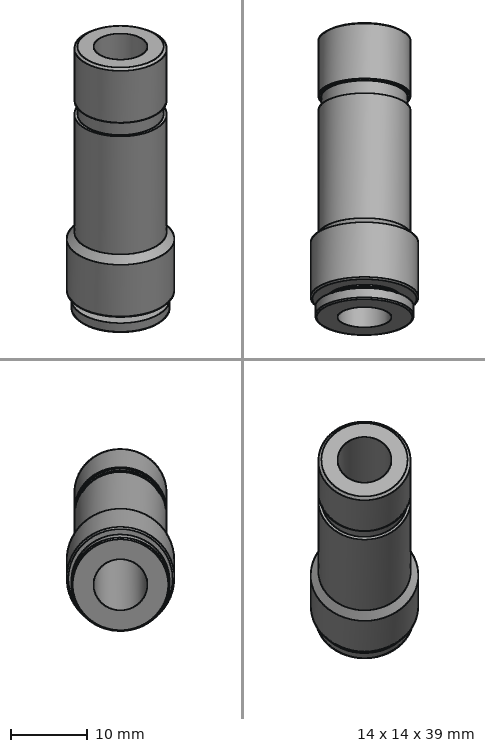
import cadquery as cq

total_height = 39.0
bore_diameter = 7.0

collar_diameter = 12.8
collar_top = 1.5
collar_chamfer = 0.2
neck_diameter = 9.0
neck_flare = 0.2

lip_diameter = 9.8
lip_height = 0.25

socket_diameter = 14.0
socket_bottom = 2.57
socket_chamfer = 0.25
shoulder_top = 11.45

stem_diameter = 12.0
groove_diameter = 11.2
groove_bottom = 28.98
groove_top = 30.9
groove_edge_chamfer = 0.15
tip_diameter = 11.2
tip_chamfer_height = 0.27


def cylinder(diameter, bottom, top):
    """Solid round section about Z between two heights."""
    return cq.Workplane("XY").workplane(offset=bottom).circle(diameter / 2).extrude(top - bottom)


def make_collar():
    collar = cylinder(collar_diameter, 0, collar_top)
    return collar.faces("<Z").chamfer(collar_chamfer)


def make_neck():
    radius = neck_diameter / 2
    profile = (
        cq.Workplane("XZ")
        .moveTo(0, collar_top)
        .lineTo(radius + neck_flare, collar_top)
        .lineTo(radius, collar_top + neck_flare)
        .lineTo(radius, socket_bottom)
        .lineTo(0, socket_bottom)
        .close()
    )
    return profile.revolve(360, (0, 0, 0), (0, 1, 0))


def make_socket():
    shoulder_width = (socket_diameter - stem_diameter) / 2
    socket = cylinder(socket_diameter, socket_bottom, shoulder_top)
    socket = socket.faces(">Z").chamfer(shoulder_width)
    return socket.faces("<Z").chamfer(socket_chamfer)


def make_tip():
    tip = cylinder(stem_diameter, groove_top, total_height)
    tip_chamfer_width = (stem_diameter - tip_diameter) / 2
    tip = tip.faces(">Z").chamfer(tip_chamfer_height, tip_chamfer_width)
    return tip.faces("<Z").chamfer(groove_edge_chamfer)


collar = make_collar()
neck = make_neck()
lip = cylinder(lip_diameter, socket_bottom - lip_height, socket_bottom)
socket = make_socket()
stem = cylinder(stem_diameter, shoulder_top, groove_bottom)
groove_core = cylinder(groove_diameter, groove_bottom, groove_top)
tip = make_tip()

body = collar.union(neck).union(lip).union(socket).union(stem).union(groove_core).union(tip)
bore = cylinder(bore_diameter, 0, total_height)
result = body.cut(bore)